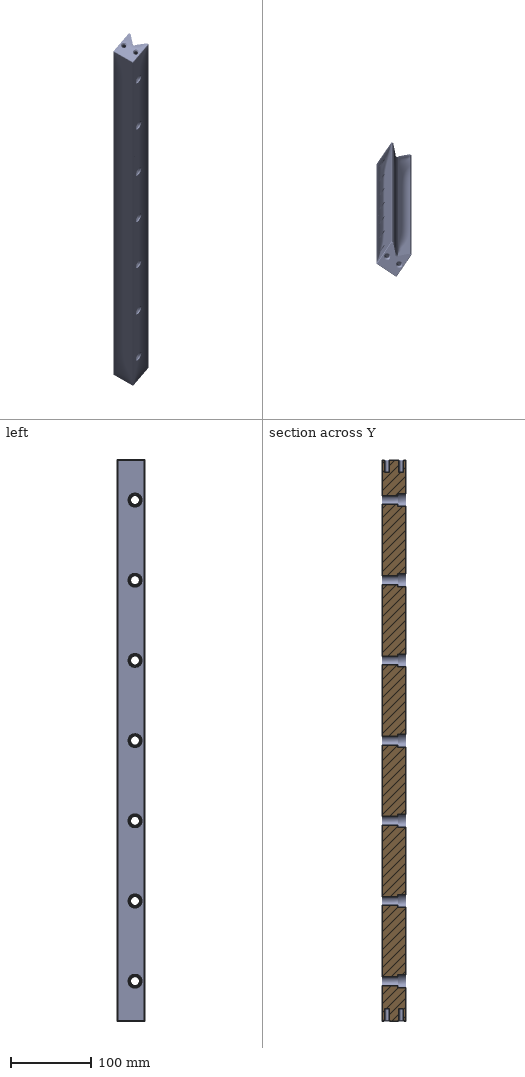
import cadquery as cq

width = 30.0
height = 34.0
length = 700.0
edge_chamfer = 0.5

raceway_half_width = 12.5
relief_width = 4.0
relief_depth = 12.0
raceway_flank_depth = raceway_half_width - relief_width / 2

mount_pitch = 100.0
mount_count = 7
mount_first = (length - (mount_count - 1) * mount_pitch) / 2
mount_height = 12.0
mount_diameter = 12
mount_counterbore_diameter = 16.5
mount_counterbore_depth = 10.0

end_hole_offset = 9.0
end_hole_height = 15.0
end_hole_diameter = 5.0
end_countersink_diameter = 8.0
end_hole_depth = 15.0


def rail_body():
    """Rectangular bar, centred in X, base on Y = 0, with all outer edges chamfered."""
    bar = cq.Workplane("XY").box(width, height, length, centered=(True, False, False))
    return bar.edges().chamfer(edge_chamfer)


def raceway():
    """Cutter for the 45 degree raceway and its square-bottomed relief slot."""
    slot_half_width = relief_width / 2
    flank_bottom = height - raceway_flank_depth
    slot_bottom = height - relief_depth
    return (
        cq.Workplane("XY")
        .moveTo(-raceway_half_width, height)
        .lineTo(-slot_half_width, flank_bottom)
        .lineTo(-slot_half_width, slot_bottom)
        .lineTo(slot_half_width, slot_bottom)
        .lineTo(slot_half_width, flank_bottom)
        .lineTo(raceway_half_width, height)
        .close()
        .extrude(length)
    )


def mounting_hole(z):
    """Cutter for a through hole along X with a counterbore in the -X face."""
    face = cq.Workplane("YZ", origin=(-width / 2, mount_height, z))
    bore = face.circle(mount_diameter / 2).extrude(width)
    counterbore = face.circle(mount_counterbore_diameter / 2).extrude(mount_counterbore_depth)
    return bore.union(counterbore)


def end_hole(x):
    """Cutter for a blind hole going down from the top end face, countersunk at 45 degrees."""
    radius = end_hole_diameter / 2
    mouth_radius = end_countersink_diameter / 2
    countersink_depth = mouth_radius - radius
    return (
        cq.Workplane("XZ", origin=(x, end_hole_height, length))
        .lineTo(mouth_radius, 0)
        .lineTo(radius, -countersink_depth)
        .lineTo(radius, -end_hole_depth)
        .lineTo(0, -end_hole_depth)
        .close()
        .revolve(360, (0, 0, 0), (0, 1, 0))
    )


result = rail_body().cut(raceway())
for index in range(mount_count):
    result = result.cut(mounting_hole(mount_first + index * mount_pitch))
for x in (-end_hole_offset, end_hole_offset):
    top_hole = end_hole(x)
    bottom_hole = top_hole.mirror("XY", (0, 0, length / 2))
    result = result.cut(top_hole).cut(bottom_hole)